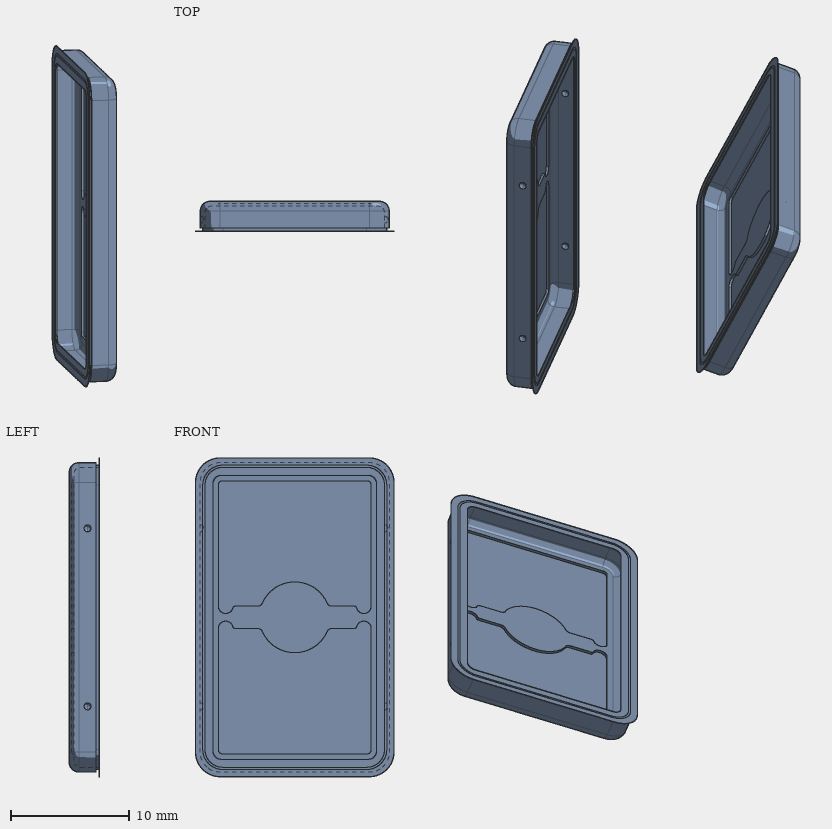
import cadquery as cq
film_width = 16.78
film_length = 26.95
film_thickness = 0.04
film_corner_radius = 2.1
film_border = 1.48
opening_corner_radius = 0.73

overall_depth = 2.55
cover_setback = 0.4
cover_width = film_width - 2 * cover_setback
cover_length = film_length - 2 * cover_setback
cover_corner_radius = 1.7
cover_edge_radius = 0.84
wall_thickness = 0.4
cavity_width = cover_width - 2 * wall_thickness
cavity_length = cover_length - 2 * wall_thickness
cavity_corner_radius = 1.5
cavity_edge_radius = 0.6

gasket_thickness = 0.25
gasket_setback = 0.22
gasket_width = cover_width - 2 * gasket_setback
gasket_length = cover_length - 2 * gasket_setback
gasket_corner_radius = cover_corner_radius

recess_depth = 0.22
recess_border = 1.95
recess_half_width = film_width / 2 - recess_border
recess_end = film_length / 2 - recess_border
recess_corner_radius = 0.35
bar_half_height = 0.95
bar_disc_radius = 3.0
disc_blend_radius = 0.4
lobe_radius = 0.62
lobe_blend_radius = 0.22
selection_margin = 0.03

dimple_radius = 0.3
dimple_y = 1.0
dimple_z = 7.52

gasket_front = film_thickness
cover_front = gasket_front + gasket_thickness
cover_depth = overall_depth - cover_front
floor_y = overall_depth - wall_thickness
opening_width = film_width - 2 * film_border
opening_length = film_length - 2 * film_border


def rounded_slab(width, length, corner_radius, front, depth):
    """A slab in the XZ plane with rounded corners, reaching from Y = front to front + depth."""
    slab = cq.Workplane("XY").box(width, depth, length)
    return slab.edges("|Y").fillet(corner_radius).translate((0, front + depth / 2, 0))


def cavity_slab(front, depth):
    """A slab with the outline of the cover's cavity."""
    return rounded_slab(cavity_width, cavity_length, cavity_corner_radius, front, depth)


def recess_disc(x, z, radius):
    """A disc as deep as the recess; the XZ plane faces -Y, so it is extruded backward."""
    plane = cq.Workplane("XZ", origin=(x, floor_y, z))
    return plane.circle(radius).extrude(-recess_depth)


def make_recess():
    """The upper recess: a plate less the bar's disc, with a round lobe at each lower corner."""
    height = recess_end - bar_half_height
    plate = (
        cq.Workplane("XY")
        .box(2 * recess_half_width, recess_depth, height)
        .translate((0, floor_y + recess_depth / 2, bar_half_height + height / 2))
        .edges("|Y and >Z")
        .fillet(recess_corner_radius)
    )
    recess = plate.cut(recess_disc(0, 0, bar_disc_radius))
    disc_corners = cq.selectors.BoxSelector(
        (-bar_disc_radius, 0, bar_half_height - selection_margin),
        (bar_disc_radius, overall_depth, bar_half_height + selection_margin),
    )
    recess = recess.edges(disc_corners).edges("|Y").fillet(disc_blend_radius)

    lobe_x = recess_half_width - lobe_radius
    for side in (-1, 1):
        recess = recess.union(recess_disc(side * lobe_x, bar_half_height, lobe_radius))
    lobe_inner_x = lobe_x - lobe_radius
    for side in (-1, 1):
        corner = cq.selectors.NearestToPointSelector(
            (side * lobe_inner_x, floor_y + recess_depth / 2, bar_half_height)
        )
        recess = recess.edges("|Y").edges(corner).fillet(lobe_blend_radius)
    return recess


def make_film():
    sheet = rounded_slab(film_width, film_length, film_corner_radius, 0, film_thickness)
    return sheet.cut(rounded_slab(opening_width, opening_length, opening_corner_radius, 0, film_thickness))


def make_gasket():
    body = rounded_slab(gasket_width, gasket_length, gasket_corner_radius, gasket_front, gasket_thickness)
    return body.cut(cavity_slab(gasket_front, gasket_thickness))


def make_cover():
    body = rounded_slab(cover_width, cover_length, cover_corner_radius, cover_front, cover_depth)
    body = body.faces(">Y").edges().fillet(cover_edge_radius)

    cavity = cavity_slab(cover_front, floor_y - cover_front)
    cavity = cavity.faces(">Y").edges().fillet(cavity_edge_radius)
    body = body.cut(cavity)

    recess = make_recess()
    body = body.cut(recess).cut(recess.mirror("XY"))

    for x in (-cover_width / 2, cavity_width / 2):
        for z in (-dimple_z, dimple_z):
            dimple = cq.Workplane("XY").sphere(dimple_radius).translate((x, dimple_y, z))
            body = body.cut(dimple, clean=False)
    return body


film = make_film()
gasket = make_gasket()
cover = make_cover()

result = cq.Compound.makeCompound([cover.val(), gasket.val(), film.val()])